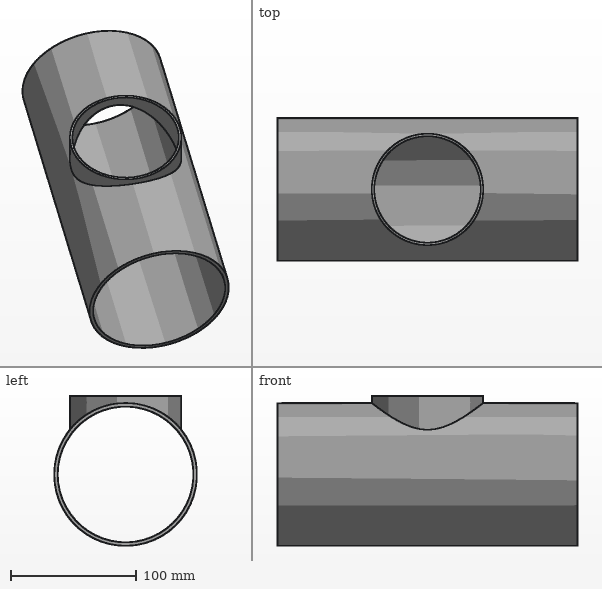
import cadquery as cq

pipe_outer_diameter = 114.3
pipe_inner_diameter = 108.3
pipe_length = 240.0

branch_outer_diameter = 89.1
branch_inner_diameter = 85.1
overall_height = 120.05
branch_top = overall_height - pipe_outer_diameter / 2


def pipe_cylinder(diameter):
    """Solid cylinder along X over the full length of the main pipe."""
    return cq.Workplane("YZ").circle(diameter / 2).extrude(pipe_length / 2, both=True)


def branch_cylinder(diameter):
    """Solid cylinder along Z from the main pipe axis to the branch rim."""
    return cq.Workplane("XY").circle(diameter / 2).extrude(branch_top)


outer_body = pipe_cylinder(pipe_outer_diameter).union(branch_cylinder(branch_outer_diameter))
result = outer_body.cut(pipe_cylinder(pipe_inner_diameter)).cut(branch_cylinder(branch_inner_diameter))